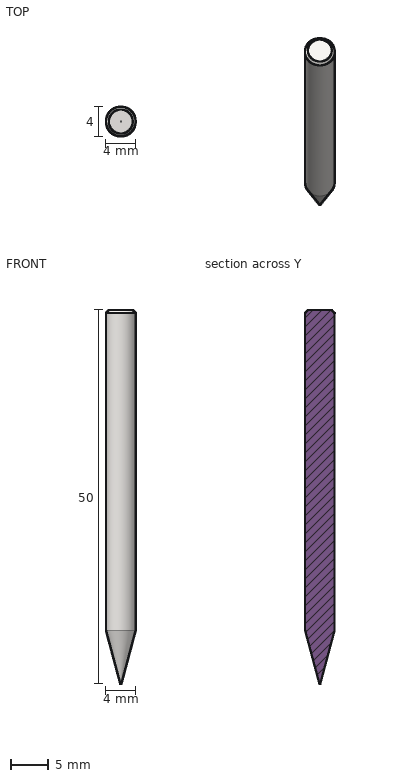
import cadquery as cq
import math

total_length = 50.0
shank_diameter = 4.0
cone_angle = 30.0
tip_diameter = 0.15
chamfer_size = 0.4

shank_radius = shank_diameter / 2
tip_radius = tip_diameter / 2
cone_length = (shank_radius - tip_radius) / math.tan(math.radians(cone_angle / 2))

profile = (
    cq.Workplane("XZ")
    .moveTo(0, 0)
    .lineTo(tip_radius, 0)
    .lineTo(shank_radius, cone_length)
    .lineTo(shank_radius, total_length - chamfer_size)
    .lineTo(shank_radius - chamfer_size, total_length)
    .lineTo(0, total_length)
    .close()
)

result = profile.revolve(360, (0, 0, 0), (0, 1, 0))